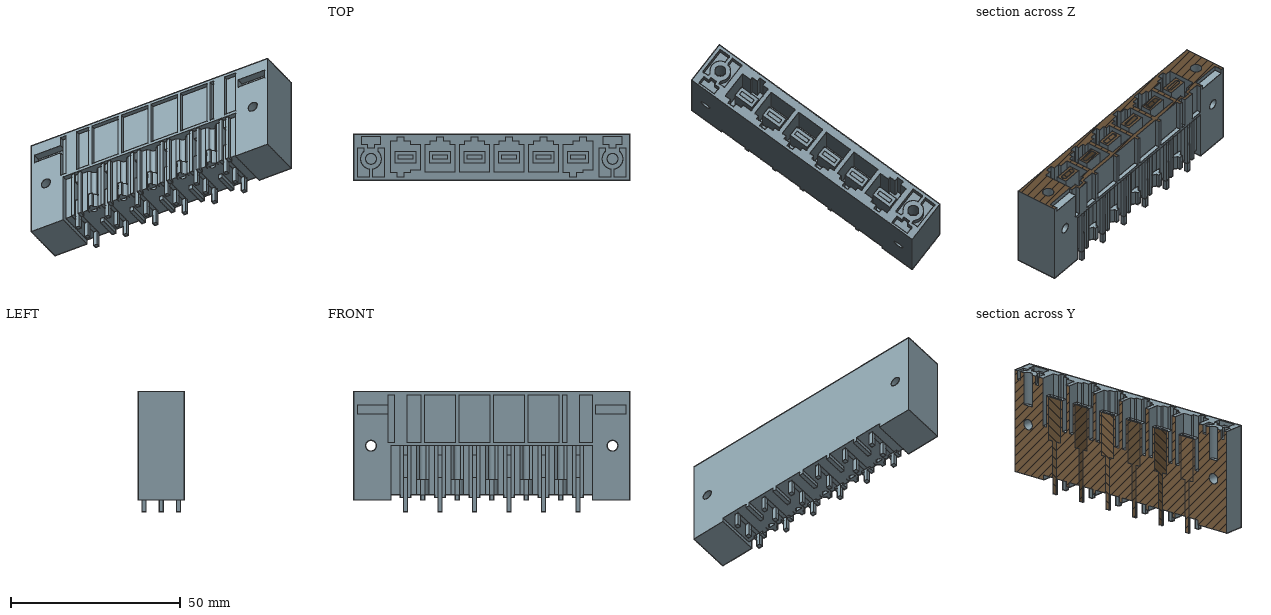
import cadquery as cq
pitch = 10.16
contact_count = 6
end_count = 2
length = (contact_count + end_count) * pitch
depth = 13.6
height = 32.0
half_length = length / 2
front = -depth / 2

contact_xs = [(i - (contact_count - 1) / 2) * pitch for i in range(contact_count)]
keyway_xs = [(i - (contact_count - 2) / 2) * pitch for i in range(contact_count - 1)]
end_xs = [-half_length + pitch / 2, half_length - pitch / 2]

leg_size = 1.2
leg_ys = [-pitch / 2, 0, pitch / 2]
leg_tip_z = -3.5
plate_width = pitch + leg_size
plate_top_z = 16.0
neck_bottom_z = 6.6
neck_top_z = 13.2
neck_depth = 1.2
blade_width = 4.5
blade_thickness = leg_size
blade_tip_z = 26.7

wall_depth = 1.5
wall_y = front + wall_depth
recess_half_length = 29.6
recess_top_z = plate_top_z
middle_bottom_z = 1.5

rib_width = 3.2
rib_height = 1.1
rib_bottom_z = 0.7

keyway_half_width = 1.85
keyway_throat_radius = 1.0
keyway_mouth_depth = 0.6
keyway_ledge_z = 6.1
post_setback = 1.1
post_center_y = wall_y + post_setback
fin_width = 1.2

panel_bottom_z = 17.0
panel_top_margin = 1.0
panel_top_z = height - panel_top_margin
panel_width = 9.1
panel_depth = 1.3
key_wall = 0.85

pocket_half_width = 4.4
pocket_floor_z = panel_bottom_z
pocket_step_y = 3.75
pocket_shoulder_y = 4.7
pocket_back_y = 5.9
plain_pocket_front_y = -4.3
keyed_pocket_front_y = -4.55
key_front_y = -5.8
key_width = 2.0
plain_shoulder_half_width = 3.0
keyed_step_x = 1.45
keyed_offset = 1.45
sleeve_width = 6.3
sleeve_depth = 3.3
sleeve_top_z = blade_tip_z

boss_diameter = 6.1
bore_diameter = 3.2
bore_depth = 10.0
boss_y = -0.5
end_pocket_half_width = 4.0
end_wall = 1.0
end_pocket_front_y = front + end_wall
end_pocket_back_y = 2.75
end_pocket_depth = 2.7
front_web_width = 1.0
back_web_width = 4.0
latch_half_width = 2.8
latch_back_y = 6.15
latch_front_y = 3.75
latch_notch_width = 2.0
window_width = 9.05
window_bottom_z = 25.35
window_top_z = 28.05
window_depth = 2.35
cross_hole_diameter = 3.1
cross_hole_z = 16.0


def box(x0, x1, y0, y1, z0, z1):
    """Box between two opposite corners."""
    return cq.Workplane("XY").box(x1 - x0, y1 - y0, z1 - z0, centered=False).translate((x0, y0, z0))


def centered_box(x, width, y0, y1, z0, z1):
    """Box centred on x."""
    return box(x - width / 2, x + width / 2, y0, y1, z0, z1)


def make_contact(x):
    """Blade, upright plate with a neck, and three solder legs."""
    half_plate = plate_width / 2
    contact = centered_box(x, leg_size, -half_plate, half_plate, middle_bottom_z, plate_top_z)
    for y0 in (-half_plate, half_plate - neck_depth):
        contact = contact.cut(centered_box(x, leg_size, y0, y0 + neck_depth, neck_bottom_z, neck_top_z))
    for y in leg_ys:
        half_leg = leg_size / 2
        contact = contact.union(
            centered_box(x, leg_size, y - half_leg, y + half_leg, leg_tip_z, middle_bottom_z)
        )
    half_blade = blade_thickness / 2
    return contact.union(
        centered_box(x, blade_width, -half_blade, half_blade, neck_top_z, blade_tip_z)
    )


def contact_pocket(x, is_first, is_last):
    """Open-topped pocket; the two end pockets carry offset keys front and back."""
    top = height
    half = pocket_half_width
    if not (is_first or is_last):
        pocket = centered_box(x, 2 * half, plain_pocket_front_y, pocket_step_y, pocket_floor_z, top)
        shoulder = centered_box(
            x, 2 * plain_shoulder_half_width, pocket_step_y, pocket_shoulder_y, pocket_floor_z, top
        )
        key = centered_box(x, key_width, pocket_shoulder_y, pocket_back_y, pocket_floor_z, top)
        return pocket.union(shoulder).union(key)
    pocket = centered_box(x, 2 * half, -pocket_step_y, pocket_step_y, pocket_floor_z, top)
    pocket = pocket.union(
        box(x - half, x + keyed_step_x, keyed_pocket_front_y, 0, pocket_floor_z, top)
    )
    pocket = pocket.union(
        centered_box(x - keyed_offset, key_width, key_front_y, 0, pocket_floor_z, top)
    )
    side = -1 if is_first else 1
    shoulder_x = x + side * (half - keyed_step_x) / 2
    shoulder = centered_box(shoulder_x, half + keyed_step_x, 0, pocket_shoulder_y, pocket_floor_z, top)
    key = centered_box(x + side * keyed_offset, key_width, 0, pocket_back_y, pocket_floor_z, top)
    return pocket.union(shoulder).union(key)


def sleeve(x):
    """Insulating sleeve around a blade."""
    return centered_box(x, sleeve_width, -sleeve_depth / 2, sleeve_depth / 2, pocket_floor_z, sleeve_top_z)


def end_pockets(x):
    """Shallow pockets around the screw boss, and its bore."""
    floor = height - end_pocket_depth
    ring = (
        centered_box(x, 2 * end_pocket_half_width, end_pocket_front_y, end_pocket_back_y, floor, height)
        .cut(cq.Workplane("XY").center(x, boss_y).circle(boss_diameter / 2).extrude(height))
        .cut(centered_box(x, front_web_width, front, boss_y, floor, height))
        .cut(centered_box(x, back_web_width, boss_y, end_pocket_back_y, floor, height))
    )
    latch = centered_box(x, 2 * latch_half_width, latch_front_y, latch_back_y, floor, height)
    notch = centered_box(x, latch_notch_width, end_pocket_back_y, latch_front_y, floor, height)
    bore = (
        cq.Workplane("XY", origin=(x, boss_y, height)).circle(bore_diameter / 2).extrude(-bore_depth)
    )
    return ring.union(latch).union(notch).union(bore)


def end_side_cuts(x):
    """Front window and the cross hole that runs through from front to back."""
    outer = end_pocket_half_width
    window_start = x - outer if x < 0 else x + outer - window_width
    window = box(
        window_start, window_start + window_width, front, front + window_depth, window_bottom_z, window_top_z
    )
    cross_hole = (
        cq.Workplane("XZ", origin=(x, front, cross_hole_z)).circle(cross_hole_diameter / 2).extrude(-depth)
    )
    return window.union(cross_hole)


def front_panels():
    """Shallow panels, each the width of a contact cell, interrupted around the front keys."""
    spans = [(x - panel_width / 2, x + panel_width / 2) for x in contact_xs[1:-1]]
    key_half = key_width / 2 + key_wall
    for x, start, end in (
        (contact_xs[0], end_xs[0] - end_pocket_half_width + window_width, contact_xs[0] + panel_width / 2),
        (contact_xs[-1], contact_xs[-1] - panel_width / 2, recess_half_length),
    ):
        spans.append((start, x - keyed_offset - key_half))
        spans.append((x - keyed_offset + key_half, end))
    panels = cq.Workplane("XY")
    for start, end in spans:
        panels = panels.add(box(start, end, front, front + panel_depth, panel_bottom_z, panel_top_z))
    return panels.combine()


def keyway(x):
    """Groove in the front wall: a flared mouth above the ledge and a round throat down to the foot."""
    throat_y = wall_y + keyway_mouth_depth
    mouth = (
        cq.Workplane("XY", origin=(x, 0, keyway_ledge_z))
        .moveTo(-keyway_half_width, wall_y)
        .lineTo(-keyway_throat_radius, throat_y)
        .lineTo(keyway_throat_radius, throat_y)
        .lineTo(keyway_half_width, wall_y)
        .close()
        .extrude(recess_top_z - keyway_ledge_z)
    )
    throat = (
        cq.Workplane("XY", origin=(x, throat_y, middle_bottom_z))
        .moveTo(-keyway_throat_radius, 0)
        .threePointArc((0, keyway_throat_radius), (keyway_throat_radius, 0))
        .close()
        .extrude(recess_top_z - middle_bottom_z)
    )
    return mouth.union(throat)


def keyway_slot(x):
    """Slot below the ledge that the rounded post stands in."""
    return centered_box(x, 2 * keyway_half_width, wall_y, post_center_y, middle_bottom_z, keyway_ledge_z)


def keyway_post(x):
    """Half-round post with a flat fin at the front."""
    post = (
        cq.Workplane("XY", origin=(x, post_center_y, middle_bottom_z))
        .moveTo(-keyway_half_width, 0)
        .threePointArc((0, -keyway_half_width), (keyway_half_width, 0))
        .close()
        .extrude(keyway_ledge_z - middle_bottom_z)
    )
    fin = centered_box(x, fin_width, front, post_center_y, middle_bottom_z, keyway_ledge_z)
    return post.union(fin)


def foot(x):
    """Narrow foot under the rear half, level with the ends of the housing."""
    return centered_box(x, fin_width, 0, -front, 0, middle_bottom_z)


def make_housing(contacts):
    housing = box(-half_length, half_length, front, -front, 0, height)
    recess = 2 * recess_half_length
    housing = housing.cut(centered_box(0, recess, front, -front, 0, middle_bottom_z))
    housing = housing.cut(centered_box(0, recess, front, wall_y, 0, recess_top_z))
    housing = housing.cut(front_panels())
    for x in keyway_xs:
        housing = housing.cut(keyway_slot(x)).union(keyway_post(x)).cut(keyway(x)).union(foot(x))
    for i, x in enumerate(contact_xs):
        housing = housing.cut(contact_pocket(x, i == 0, i == contact_count - 1))
        housing = housing.union(sleeve(x))
        leg_back_y = -plate_width / 2 + neck_depth
        housing = housing.union(
            centered_box(x, rib_width, wall_y - rib_height, leg_back_y, rib_bottom_z, recess_top_z)
        )
        housing = housing.cut(centered_box(x, leg_size, front, leg_back_y, 0, recess_top_z))
    for x in end_xs:
        housing = housing.cut(end_pockets(x)).cut(end_side_cuts(x))
    for contact in contacts:
        housing = housing.cut(contact)
    return housing


contacts = [make_contact(x) for x in contact_xs]
housing = make_housing(contacts)

result = cq.Compound.makeCompound([housing.val(), *[contact.val() for contact in contacts]])